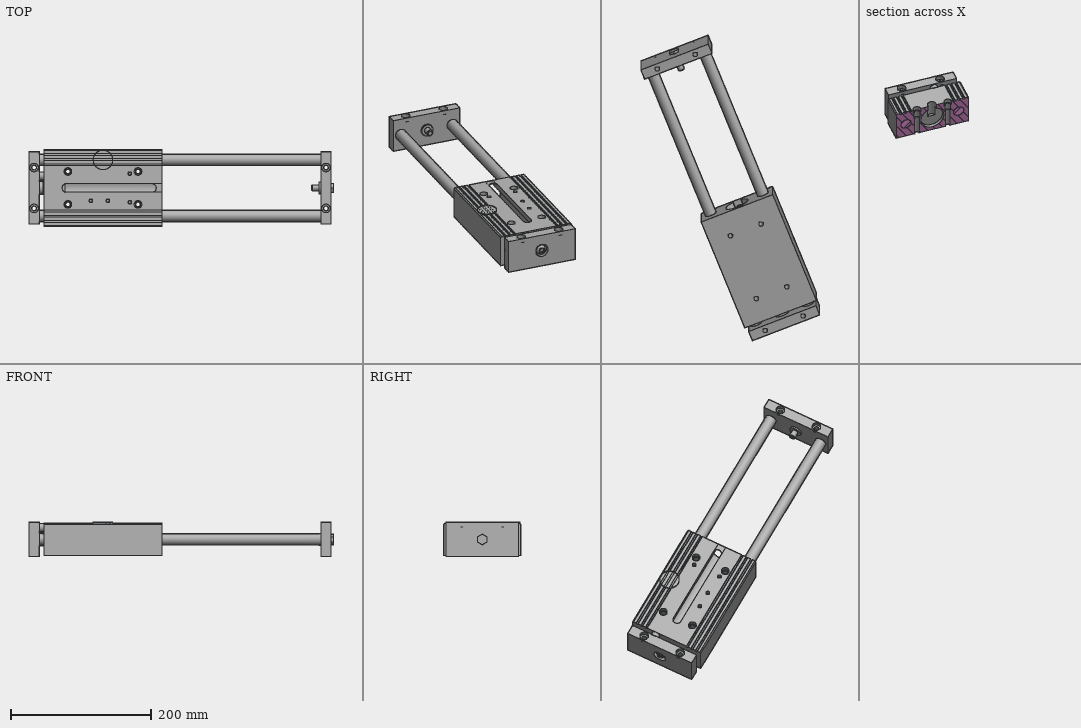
import cadquery as cq


total_length = 435.0
nut_height = 3.5
frame_length = total_length - nut_height
plate_thickness = 15.0
plate_width = 103.5
plate_height = 49.0
right_plate_x = frame_length - plate_thickness

rod_diameter = 16.5
rod_y = 40.0

plate_hole_y = 29.0
plate_hole_diameter = 6.5
counterbore_diameter = 12.0
counterbore_depth = 6.5

stop_pin_diameter = 9.0
stop_pin_chamfer = 1.5
stop_pin_length = 13.0
stop_flange_diameter = 17.5
stop_flange_thickness = 2.5
nut_across_corners = 15.2

left_recess_diameter = 18.5
left_recess_depth = 5.2
head_diameter = 14.5
head_tip_diameter = 8.0
head_socket_diameter = 6.5
head_socket_depth = 2.0
bumper_diameter = 18.5
bumper_length = 5.5
side_pin_diameter = 12.0
side_pin_offset = 17.0

housing_gap = 6.5
housing_x = plate_thickness + housing_gap
housing_length = 169.0
housing_width = 110.0
housing_height = 46.5
housing_end_x = housing_x + housing_length
housing_top = housing_height / 2
housing_mid_x = housing_x + housing_length / 2
top_chamfer = 1.7

groove_width = 2.5
groove_depth = 2.0
groove_pitch = 7.5
groove_group_y = 40.5

cap_diameter = 28.0
cap_height = plate_height / 2 - housing_top

slot_width = 12.0
slot_start_x = 47.5
slot_end_x = 182.0
bore_diameter = 34.0
bore_start_x = 51.5
keyway_roof = 1.5

mount_spacing_x = 100.0
mount_spacing_y = 47.0
mount_steps = ((11.0, 6.5), (8.0, 17.5), (6.5, housing_height))

small_hole_steps = ((5.2, 6.5), (4.15, 8.5))
pair_x = 144.0
pair_y = 20.5
row_x = (88.5, 112.5)
row_y = -18.3


def x_cylinder(diameter, x_start, length, y=0, z=0):
    """Cylinder along +X."""
    return cq.Workplane("YZ", origin=(x_start, y, z)).circle(diameter / 2).extrude(length)


def top_hole(diameter, x, y, top_z, depth):
    """Tool for a vertical hole going down from top_z."""
    return cq.Workplane("XY", origin=(x, y, top_z)).circle(diameter / 2).extrude(-depth)


def end_plate(x_start):
    """End plate with two counterbored vertical holes."""
    plate = cq.Workplane("XY").box(
        plate_thickness, plate_width, plate_height, centered=(False, True, True)
    ).translate((x_start, 0, 0))
    mid_x = x_start + plate_thickness / 2
    for y in (-plate_hole_y, plate_hole_y):
        plate = plate.cut(top_hole(plate_hole_diameter, mid_x, y, plate_height / 2, plate_height))
        plate = plate.cut(
            top_hole(counterbore_diameter, mid_x, y, plate_height / 2, counterbore_depth)
        )
    return plate


def left_plate():
    """Left end plate with a recessed conical screw head, a bumper and a side pin."""
    head = (
        cq.Workplane("YZ", origin=(left_recess_depth, 0, 0))
        .circle(head_diameter / 2)
        .workplane(offset=-left_recess_depth)
        .circle(head_tip_diameter / 2)
        .loft()
    )
    socket = x_cylinder(head_socket_diameter, 0, head_socket_depth)
    plate = end_plate(0).cut(x_cylinder(left_recess_diameter, 0, left_recess_depth))
    plate = plate.union(head.cut(socket))
    plate = plate.union(x_cylinder(bumper_diameter, plate_thickness, bumper_length))
    side_pin = x_cylinder(
        side_pin_diameter, plate_thickness, housing_gap, side_pin_offset, side_pin_offset
    )
    return plate.union(side_pin)


def right_plate():
    """Right end plate with a flanged stop pin inside and a hex nut outside."""
    pin = x_cylinder(stop_pin_diameter, right_plate_x - stop_pin_length, stop_pin_length)
    pin = pin.faces("<X").chamfer(stop_pin_chamfer)
    flange = x_cylinder(
        stop_flange_diameter, right_plate_x - stop_flange_thickness, stop_flange_thickness
    )
    nut = (
        cq.Workplane("YZ", origin=(frame_length, 0, 0))
        .transformed(rotate=(0, 0, 90))
        .polygon(6, nut_across_corners)
        .extrude(nut_height)
    )
    return end_plate(right_plate_x).union(pin).union(flange).union(nut)


def make_frame():
    """End plates and guide rods as one rigid body."""
    frame = left_plate().union(right_plate())
    rod_length = right_plate_x - plate_thickness
    for y in (-rod_y, rod_y):
        frame = frame.union(x_cylinder(rod_diameter, plate_thickness, rod_length, y))
    return frame


def cut_grooves(housing):
    """Three evenly pitched grooves along each side of the top face."""
    for side in (-1, 1):
        for index in (-1, 0, 1):
            y = side * (groove_group_y + index * groove_pitch)
            groove = cq.Workplane("XY").box(
                housing_length, groove_width, groove_depth, centered=(True, True, False)
            )
            housing = housing.cut(groove.translate((housing_mid_x, y, housing_top - groove_depth)))
    return housing


def cut_slot_and_bore(housing):
    """Bore along X, open at the right end, a slot into it from the top and a keyway past the slot."""
    slot_length = slot_end_x - slot_start_x
    slot = (
        cq.Workplane("XY", origin=((slot_start_x + slot_end_x) / 2, 0, 0))
        .slot2D(slot_length, slot_width)
        .extrude(housing_top)
    )
    bore = x_cylinder(bore_diameter, bore_start_x, housing_end_x - bore_start_x)
    keyway_start_x = slot_end_x - slot_width / 2
    keyway = cq.Workplane("XY", origin=(keyway_start_x, 0, 0)).box(
        housing_end_x - keyway_start_x,
        slot_width,
        housing_top - keyway_roof,
        centered=(False, True, False),
    )
    return housing.cut(slot).cut(bore).cut(keyway)


def cut_stepped_hole(housing, x, y, steps):
    """Vertical hole from the top face that narrows with depth."""
    for diameter, depth in steps:
        housing = housing.cut(top_hole(diameter, x, y, housing_top, depth))
    return housing


def cut_top_holes(housing):
    """Four mounting holes through the block and four small blind holes."""
    for side_x in (-1, 1):
        for side_y in (-1, 1):
            x = housing_mid_x + side_x * mount_spacing_x / 2
            y = side_y * mount_spacing_y / 2
            housing = cut_stepped_hole(housing, x, y, mount_steps)
    for y in (-pair_y, pair_y):
        housing = cut_stepped_hole(housing, pair_x, y, small_hole_steps)
    for x in row_x:
        housing = cut_stepped_hole(housing, x, row_y, small_hole_steps)
    return housing


def make_housing():
    """Block sliding on the rods, with a round cap on its top face."""
    housing = cq.Workplane("XY").box(housing_length, housing_width, housing_height)
    housing = housing.edges("|X and >Z").chamfer(top_chamfer)
    housing = housing.translate((housing_mid_x, 0, 0))
    housing = cut_grooves(housing)
    housing = cut_slot_and_bore(housing)
    housing = cut_top_holes(housing)
    cap = (
        cq.Workplane("XY", origin=(housing_mid_x, rod_y, housing_top))
        .circle(cap_diameter / 2)
        .extrude(cap_height)
    )
    housing = housing.union(cap)
    for y in (-rod_y, rod_y):
        housing = housing.cut(x_cylinder(rod_diameter, housing_x, housing_length, y))
    return housing


frame = make_frame()
housing = make_housing()
result = cq.Compound.makeCompound([frame.val(), housing.val()])